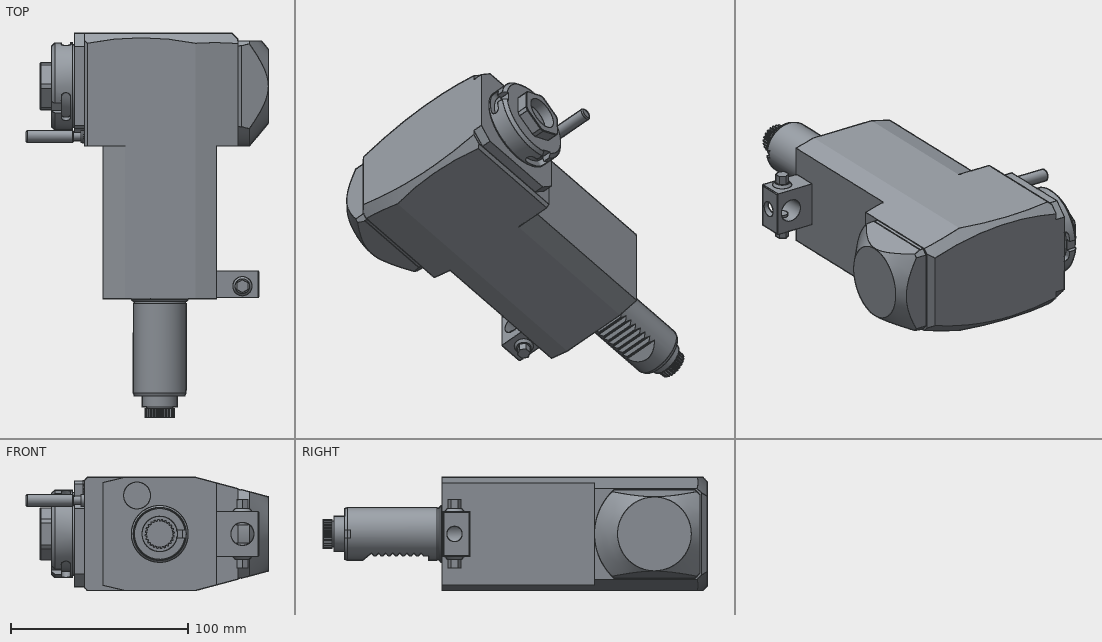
import cadquery as cq
import math


HEIGHT = 64.0
HALF_HEIGHT = HEIGHT / 2
BODY_HALF_WIDTH = 32.1
BODY_BEVEL_START = -19.5
BODY_BEVEL_DROP = 3.0
SLOPE_START = 20.2
SLOPE_ANGLE = 15
HEAD_FRONT = 86.1
HEAD_BACK = 150.0
HEAD_LEFT = -42.5
HEAD_RIGHT = 44.0
HEAD_EDGE_CHAMFER = 1.7
HEAD_CORNER_CHAMFER = 3.3
BACK_ARC_RADIUS = 152
BACK_ARC_CENTER_X = -10.5
BACK_ARC_DROP = 2.5
PLUG_X, PLUG_Z = -12.8, 21.7
PLUG_RADIUS = 7.5
PLUG_DEPTH = 0.5

SPINDLE_Y = 120.0
CAP_RIGHT = 61.5
CAP_CONE_START = 50.5
CAP_RADIUS = 33.9
CAP_END_RADIUS = 20.8
CAP_BACK = 145.5
CAP_GROOVE_WIDTH = 2.0
CAP_GROOVE_DEPTH = 0.33
PLATE_LEFT = -48.2
PLATE_HALF_HEIGHT = 30.0
PLATE_FRONT = 90.5
PLATE_CHAMFER = 7.4
NUT_LEFT = -61.2
NUT_RADIUS = 24.7
NUT_CHAMFER = 2.0
NUT_NECK_RADIUS = 23.5
NUT_NECK_LENGTH = 1.0
NUT_SLOT_COUNT = 3
NUT_SLOT_X = -53.0
NUT_SLOT_WIDTH = 5.2
NUT_SLOT_LENGTH = 18.2
NUT_SLOT_DEPTH = 3.5
NUT_NOTCH_WIDTH = 6.3
NUT_NOTCH_DEPTH = 3.0
HEX_LEFT = -67.5
HEX_CHAMFER = 0.5
HEX_FLATS = 26.7
HEX_TRUNCATION_RADIUS = 14.8
SPINDLE_BORE_RADIUS = 9.5
SPINDLE_BORE_DEPTH = 6.5

PIN_Y, PIN_Z = 91.5, 18.9
PIN_LEFT = -75.5
PIN_RADIUS = 3.5
PIN_CHAMFER = 0.75
PIN_BODY_END = -48.5
PIN_NECK_RADIUS = 2.4
PIN_COLLAR_LEFT = -44.5
RECESS_RADIUS = 4.5
SCREW_Z = 26.3
SCREW_LEFT = -43.2
SCREW_CORNER_RADIUS = 4.0
SCREW_SOCKET_RADIUS = 1.3
SCREW_SOCKET_DEPTH = 0.5

COLLAR_RADIUS = 16.0
COLLAR_EDGE = 0.5
COLLAR_LENGTH = 1.5
UNDERCUT_RADIUS = 14.5
UNDERCUT_END = 2.5
SHANK_RADIUS = 15.0
SHANK_LENGTH = 55.0
SHANK_CHAMFER_LENGTH = 1.7
SHANK_END_RADIUS = 14.3
STEP_RADIUS = 10.0
STEP_END = 61.0
SPLINE_START = 61.8
SPLINE_END = 67.0
SPLINE_TIP_RADIUS = 8.2
SPLINE_ROOT_RADIUS = 7.4
SPLINE_TEETH = 24
RACK_CREST_Z = -12.5
RACK_VALLEY_Z = -10.8
RACK_START = 7.4
RACK_FIRST_VALLEY = 11.7
RACK_LAST_VALLEY = 39.7
RACK_VALLEYS = 8
RACK_PITCH = (RACK_LAST_VALLEY - RACK_FIRST_VALLEY) / (RACK_VALLEYS - 1)
RACK_EXIT = 44.7
END_NOTCH_WIDTH = 4.5
END_NOTCH_STEPS = ((9.3, 1.7), (12.8, 3.5))

BLOCK_RIGHT = 56.0
BLOCK_HEIGHT = 25.4
BLOCK_HALF_HEIGHT = BLOCK_HEIGHT / 2
BLOCK_FRONT = 0.7
BLOCK_BACK = 15.8
BLOCK_CHAMFER = 0.55
BLOCK_HOLE_X = 46.7
BLOCK_HOLE_Y = 7.2
BLOCK_HOLE_RADIUS = 6.5
BLOCK_SIDE_HOLE_RADIUS = 4.3
BOLT_FLANGE_RADIUS = 5.5
BOLT_FLANGE_TOP_RADIUS = 4.1
BOLT_FLANGE_HEIGHT = 1.63
BOLT_HEAD_TOP = 19.3
BOLT_CORNER_DIAMETER = 7.4
BOLT_TIP_RADIUS = 3.3
BOLT_TIP_Z = 5.0


def slope_z(x):
    """Height of the right-hand sloping face at a given X."""
    return HALF_HEIGHT - (x - SLOPE_START) * math.tan(math.radians(SLOPE_ANGLE))


def housing_prism(upper_points, y_front, y_back):
    """Extrude an XZ outline, mirrored about Z = 0, between two Y positions."""
    lower_points = [(x, -z) for x, z in reversed(upper_points)]
    outline = cq.Workplane("XZ", origin=(0, y_front, 0)).polyline(upper_points + lower_points)
    return outline.close().extrude(-(y_back - y_front))


def x_cylinder(radius, x_start, x_end, y, z=0):
    return cq.Workplane("YZ", origin=(x_start, y, z)).circle(radius).extrude(x_end - x_start)


def x_hexagon(corner_diameter, x_start, x_end, y, z=0):
    """Hexagonal prism along X with corners pointing to +Z and -Z."""
    plane = cq.Workplane("YZ", origin=(x_start, y, z)).transformed(rotate=(0, 0, 90))
    return plane.polygon(6, corner_diameter).extrude(x_end - x_start)


def y_cylinder(radius, y_start, y_end, x=0, z=0):
    return cq.Workplane("XZ", origin=(x, y_start, z)).circle(radius).extrude(y_start - y_end)


def box_between(x_range, y_range, z_range):
    spans = [high - low for low, high in (x_range, y_range, z_range)]
    corner = (x_range[0], y_range[0], z_range[0])
    return cq.Workplane("XY", origin=corner).box(*spans, centered=False)


def make_body():
    upper = [
        (-BODY_HALF_WIDTH, HALF_HEIGHT - BODY_BEVEL_DROP),
        (BODY_BEVEL_START, HALF_HEIGHT),
        (SLOPE_START, HALF_HEIGHT),
        (BODY_HALF_WIDTH, slope_z(BODY_HALF_WIDTH)),
    ]
    body = housing_prism(upper, 0, HEAD_FRONT)
    return body.cut(y_cylinder(PLUG_RADIUS, 0, PLUG_DEPTH, PLUG_X, PLUG_Z))


def make_head():
    upper = [
        (HEAD_LEFT, HALF_HEIGHT - HEAD_EDGE_CHAMFER),
        (HEAD_LEFT + HEAD_EDGE_CHAMFER, HALF_HEIGHT),
        (SLOPE_START, HALF_HEIGHT),
        (HEAD_RIGHT, slope_z(HEAD_RIGHT)),
    ]
    head = housing_prism(upper, HEAD_FRONT, HEAD_BACK)
    head = head.edges("|Z").edges(">X and >Y").chamfer(HEAD_CORNER_CHAMFER)
    middle_radius = BACK_ARC_RADIUS + HALF_HEIGHT
    center_y = HEAD_BACK - BACK_ARC_DROP - BACK_ARC_RADIUS
    double_cone = (
        cq.Workplane("XZ", origin=(BACK_ARC_CENTER_X, center_y, 0))
        .moveTo(0, -HALF_HEIGHT)
        .lineTo(BACK_ARC_RADIUS, -HALF_HEIGHT)
        .lineTo(middle_radius, 0)
        .lineTo(BACK_ARC_RADIUS, HALF_HEIGHT)
        .lineTo(0, HALF_HEIGHT)
        .close()
        .revolve(360, (0, 0, 0), (0, 1, 0))
    )
    return head.intersect(double_cone)


def make_cap():
    """Turned end cap, trimmed to the housing slopes and flattened at the back."""
    turned = (
        cq.Workplane("XY", origin=(0, SPINDLE_Y, 0))
        .moveTo(HEAD_RIGHT, 0)
        .lineTo(HEAD_RIGHT, CAP_RADIUS)
        .lineTo(CAP_CONE_START, CAP_RADIUS)
        .lineTo(CAP_RIGHT, CAP_END_RADIUS)
        .lineTo(CAP_RIGHT, 0)
        .close()
        .revolve(360, (0, 0, 0), (1, 0, 0))
    )
    groove_end = HEAD_RIGHT + CAP_GROOVE_WIDTH
    upper = [
        (HEAD_RIGHT, slope_z(HEAD_RIGHT) - CAP_GROOVE_DEPTH),
        (groove_end, slope_z(groove_end) - CAP_GROOVE_DEPTH),
        (groove_end, slope_z(groove_end)),
        (CAP_RIGHT, slope_z(CAP_RIGHT)),
    ]
    return turned.intersect(housing_prism(upper, SPINDLE_Y - CAP_RADIUS, CAP_BACK))


def make_plate():
    plate = box_between(
        (PLATE_LEFT, HEAD_LEFT), (PLATE_FRONT, HEAD_BACK), (-PLATE_HALF_HEIGHT, PLATE_HALF_HEIGHT)
    )
    plate = plate.edges("|X").chamfer(PLATE_CHAMFER)
    recess = x_cylinder(RECESS_RADIUS, PLATE_LEFT, HEAD_LEFT, PIN_Y, PIN_Z)
    recess_top = box_between(
        (PLATE_LEFT, HEAD_LEFT), (PIN_Y - RECESS_RADIUS, PIN_Y + RECESS_RADIUS), (PIN_Z, HALF_HEIGHT)
    )
    return plate.cut(recess).cut(recess_top)


def make_nut():
    """Round clamping nut with spanner slots, and the hexagon spindle nose."""
    nut = x_cylinder(NUT_RADIUS, NUT_LEFT, PLATE_LEFT - NUT_NECK_LENGTH, SPINDLE_Y)
    nut = nut.faces("<X").chamfer(NUT_CHAMFER)
    pocket_floor = NUT_RADIUS - NUT_SLOT_DEPTH
    notch_floor = NUT_RADIUS - NUT_NOTCH_DEPTH
    core = x_cylinder(pocket_floor, NUT_LEFT, PLATE_LEFT, SPINDLE_Y)
    for index in range(NUT_SLOT_COUNT):
        angle = index * 360 / NUT_SLOT_COUNT
        pocket = (
            cq.Workplane("XZ", origin=(NUT_SLOT_X, SPINDLE_Y, 0))
            .slot2D(NUT_SLOT_LENGTH, NUT_SLOT_WIDTH, 90)
            .extrude(-NUT_RADIUS)
            .cut(core)
        )
        notch = box_between(
            (NUT_LEFT, NUT_SLOT_X),
            (SPINDLE_Y + notch_floor, SPINDLE_Y + NUT_RADIUS),
            (-NUT_NOTCH_WIDTH / 2, NUT_NOTCH_WIDTH / 2),
        )
        for cutter in (pocket, notch):
            nut = nut.cut(cutter.rotate((0, SPINDLE_Y, 0), (1, SPINDLE_Y, 0), angle))
    neck = x_cylinder(NUT_NECK_RADIUS, PLATE_LEFT - NUT_NECK_LENGTH, PLATE_LEFT, SPINDLE_Y)
    hexagon = x_hexagon(HEX_FLATS / math.cos(math.pi / 6), HEX_LEFT, NUT_LEFT, SPINDLE_Y)
    hexagon = hexagon.intersect(x_cylinder(HEX_TRUNCATION_RADIUS, HEX_LEFT, NUT_LEFT, SPINDLE_Y))
    hexagon = hexagon.faces("<X").chamfer(HEX_CHAMFER)
    bore = x_cylinder(SPINDLE_BORE_RADIUS, HEX_LEFT, HEX_LEFT + SPINDLE_BORE_DEPTH, SPINDLE_Y)
    return nut.union(neck).union(hexagon.cut(bore))


def make_pin_and_screw():
    pin = x_cylinder(PIN_RADIUS, PIN_LEFT, PIN_BODY_END, PIN_Y, PIN_Z)
    pin = pin.edges().chamfer(PIN_CHAMFER)
    neck = x_cylinder(PIN_NECK_RADIUS, PIN_BODY_END, PIN_COLLAR_LEFT, PIN_Y, PIN_Z)
    collar = x_cylinder(PIN_RADIUS, PIN_COLLAR_LEFT, HEAD_LEFT, PIN_Y, PIN_Z)
    screw = x_hexagon(2 * SCREW_CORNER_RADIUS, SCREW_LEFT, HEAD_LEFT, PIN_Y, SCREW_Z)
    socket = x_hexagon(
        2 * SCREW_SOCKET_RADIUS, SCREW_LEFT, SCREW_LEFT + SCREW_SOCKET_DEPTH, PIN_Y, SCREW_Z
    )
    return pin.union(neck).union(collar).union(screw.cut(socket))


def make_rack_cutter():
    """Toothed clamping recess on the underside of the shank."""
    valley_half_width = RACK_VALLEY_Z - RACK_CREST_Z
    points = [(-RACK_START, -COLLAR_RADIUS), (-RACK_START, RACK_CREST_Z)]
    for index in range(RACK_VALLEYS):
        valley_y = -(RACK_FIRST_VALLEY + index * RACK_PITCH)
        points.append((valley_y + valley_half_width, RACK_CREST_Z))
        points.append((valley_y, RACK_VALLEY_Z))
        if index < RACK_VALLEYS - 1:
            points.append((valley_y - valley_half_width, RACK_CREST_Z))
    points.append((-RACK_EXIT, -SHANK_RADIUS))
    points.append((-RACK_EXIT, -COLLAR_RADIUS))
    return cq.Workplane("YZ").polyline(points).close().extrude(SHANK_RADIUS, both=True)


def cut_end_notch(shank):
    """Cut a stepped notch on the +X side of the shank end."""
    for floor, length in END_NOTCH_STEPS:
        step = box_between(
            (floor, COLLAR_RADIUS),
            (-SHANK_LENGTH, -SHANK_LENGTH + length),
            (-END_NOTCH_WIDTH / 2, END_NOTCH_WIDTH / 2),
        )
        shank = shank.cut(step)
    return shank


def make_spline():
    """Straight-sided spline with evenly spaced trapezoidal teeth."""
    pitch = 2 * math.pi / SPLINE_TEETH
    tooth_radii = (SPLINE_ROOT_RADIUS, SPLINE_TIP_RADIUS, SPLINE_TIP_RADIUS, SPLINE_ROOT_RADIUS)
    points = []
    for index in range(SPLINE_TEETH):
        for corner, radius in enumerate(tooth_radii):
            angle = (index + corner / len(tooth_radii)) * pitch
            points.append((radius * math.cos(angle), radius * math.sin(angle)))
    outline = cq.Workplane("XZ", origin=(0, -SPLINE_START, 0)).polyline(points).close()
    return outline.extrude(SPLINE_END - SPLINE_START)


def make_shank():
    profile = [
        (0, 0),
        (COLLAR_RADIUS, 0),
        (COLLAR_RADIUS, -COLLAR_EDGE),
        (SHANK_RADIUS, -COLLAR_LENGTH),
        (UNDERCUT_RADIUS, -COLLAR_LENGTH),
        (UNDERCUT_RADIUS, -UNDERCUT_END),
        (SHANK_RADIUS, -UNDERCUT_END),
        (SHANK_RADIUS, -SHANK_LENGTH + SHANK_CHAMFER_LENGTH),
        (SHANK_END_RADIUS, -SHANK_LENGTH),
        (STEP_RADIUS, -SHANK_LENGTH),
        (STEP_RADIUS, -STEP_END),
        (SPLINE_ROOT_RADIUS, -STEP_END),
        (SPLINE_ROOT_RADIUS, -SPLINE_START),
        (0, -SPLINE_START),
    ]
    turned = cq.Workplane("XY").polyline(profile).close().revolve(360, (0, 0, 0), (0, 1, 0))
    shank = cut_end_notch(turned.cut(make_rack_cutter()))
    return shank.union(make_spline())


def make_clamp_bolt():
    """Upper bolt of the clamp block: shank tip, tapered flange and hexagon head."""
    flange_top = BLOCK_HALF_HEIGHT + BOLT_FLANGE_HEIGHT
    turned = (
        cq.Workplane("XZ", origin=(BLOCK_HOLE_X, BLOCK_HOLE_Y, 0))
        .moveTo(0, BOLT_TIP_Z)
        .lineTo(BOLT_TIP_RADIUS, BOLT_TIP_Z)
        .lineTo(BOLT_TIP_RADIUS, BLOCK_HALF_HEIGHT)
        .lineTo(BOLT_FLANGE_RADIUS, BLOCK_HALF_HEIGHT)
        .lineTo(BOLT_FLANGE_TOP_RADIUS, flange_top)
        .lineTo(0, flange_top)
        .close()
        .revolve(360, (0, 0, 0), (0, 1, 0))
    )
    head = (
        cq.Workplane("XY", origin=(BLOCK_HOLE_X, BLOCK_HOLE_Y, flange_top))
        .transformed(rotate=(0, 0, 90))
        .polygon(6, BOLT_CORNER_DIAMETER)
        .extrude(BOLT_HEAD_TOP - flange_top)
    )
    return turned.union(head)


def make_clamp_block():
    block = box_between(
        (BODY_HALF_WIDTH, BLOCK_RIGHT),
        (BLOCK_FRONT, BLOCK_BACK),
        (-BLOCK_HALF_HEIGHT, BLOCK_HALF_HEIGHT),
    )
    block = block.faces(">X").edges().chamfer(BLOCK_CHAMFER)
    block = block.cut(y_cylinder(BLOCK_HOLE_RADIUS, BLOCK_FRONT, BLOCK_BACK, BLOCK_HOLE_X))
    block = block.cut(x_cylinder(BLOCK_SIDE_HOLE_RADIUS, BLOCK_HOLE_X, BLOCK_RIGHT, BLOCK_HOLE_Y))
    bolt = make_clamp_bolt()
    return block.union(bolt).union(bolt.mirror("XY"))


result = make_body()
for component in (
    make_head(),
    make_cap(),
    make_plate(),
    make_nut(),
    make_pin_and_screw(),
    make_shank(),
    make_clamp_block(),
):
    result = result.union(component)